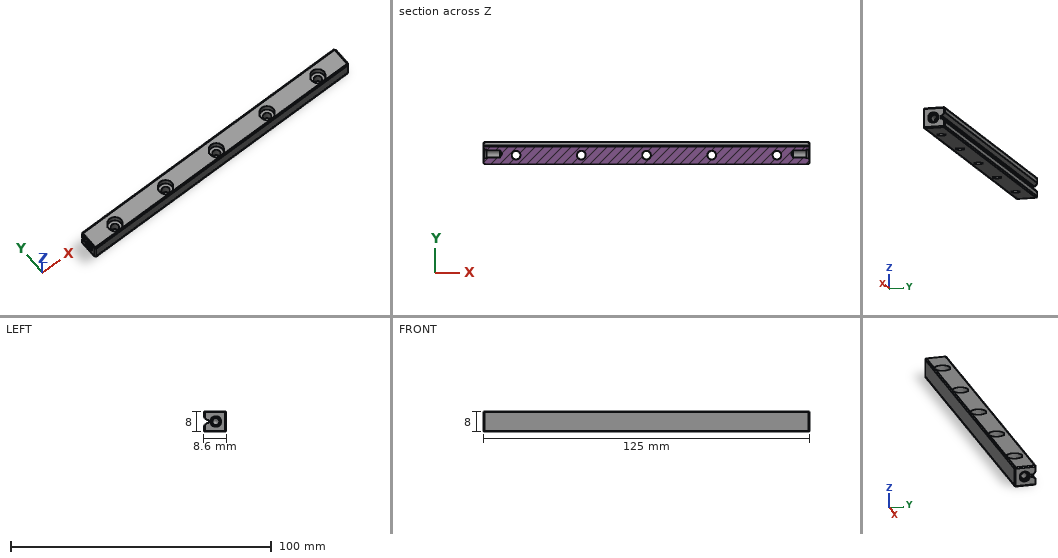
import cadquery as cq
import math

length = 125.0
width = 8.6
height = 8.0
edge_chamfer = 0.5

groove_half_opening = 1.8
relief_width = 1.0
relief_depth = 1.9

hole_count = 5
hole_pitch = length / hole_count
hole_y = 3.5
hole_diameter = 3.2
counterbore_diameter = 6.0
counterbore_depth = 3.1

end_hole_y = 4.0
entry_diameter = 3.2
entry_depth = 1.2
end_hole_diameter = 2.6
end_hole_depth = 6.2
end_countersink_diameter = 4.1
drill_point_angle = 118.0

mid_height = height / 2


def make_body():
    block = cq.Workplane("XY").box(length, width, height, centered=False)
    return block.edges().chamfer(edge_chamfer)


def make_groove():
    half_relief = relief_width / 2
    vee_depth = groove_half_opening - half_relief
    vee_bottom = width - vee_depth
    slot_bottom = width - relief_depth
    return (
        cq.Workplane("YZ")
        .moveTo(width, mid_height - groove_half_opening)
        .lineTo(vee_bottom, mid_height - half_relief)
        .lineTo(slot_bottom, mid_height - half_relief)
        .lineTo(slot_bottom, mid_height + half_relief)
        .lineTo(vee_bottom, mid_height + half_relief)
        .lineTo(width, mid_height + groove_half_opening)
        .close()
        .extrude(length)
    )


def cut_mounting_holes(body):
    positions = [((i + 0.5) * hole_pitch, hole_y) for i in range(hole_count)]
    return (
        body.faces(">Z")
        .workplane(origin=(0, 0, height))
        .pushPoints(positions)
        .cboreHole(hole_diameter, counterbore_diameter, counterbore_depth)
    )


def make_end_hole():
    """Countersunk entry bore stepping down to a drilled hole, entering the end at X = 0."""
    radius = end_hole_diameter / 2
    entry_radius = entry_diameter / 2
    mouth_radius = end_countersink_diameter / 2
    countersink_depth = mouth_radius - entry_radius
    point_depth = radius / math.tan(math.radians(drill_point_angle / 2))
    return (
        cq.Workplane("XY")
        .lineTo(0, mouth_radius)
        .lineTo(countersink_depth, entry_radius)
        .lineTo(entry_depth, entry_radius)
        .lineTo(entry_depth, radius)
        .lineTo(end_hole_depth, radius)
        .lineTo(end_hole_depth + point_depth, 0)
        .close()
        .revolve(360, (0, 0, 0), (1, 0, 0))
        .translate((0, end_hole_y, mid_height))
    )


rail = cut_mounting_holes(make_body().cut(make_groove()))
near_end_hole = make_end_hole()
far_end_hole = near_end_hole.mirror("YZ", (length / 2, 0, 0))
result = rail.cut(near_end_hole).cut(far_end_hole)